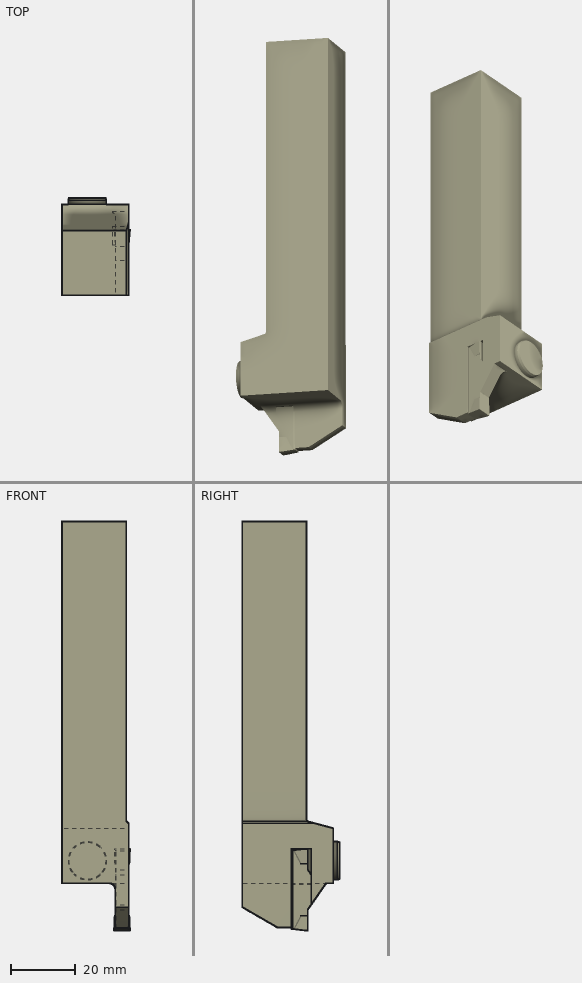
import cadquery as cq
import math


overall_height = 126.35
shank_size = 19.9
head_depth = 28.1
head_width = 20.64
head_bottom = 14.7
head_shoulder = 33.9
shoulder_angle = 15.0
shoulder_fillet = 0.7

blade_thickness = 4.2
blade_inner = head_width - blade_thickness
blade_root_radius = 2.0
relief_step = 0.35
blade_bottom = 1.05
blade_heel_height = 7.3
heel_angle = 30.0
jaw_root_depth = 25.9
jaw_tip_height = 6.55

screw_diameter = 11.86
screw_top = 30.1
screw_x = 7.8
screw_z = 21.7
screw_edge_rise = 0.75
screw_edge_inset = 0.25

insert_length = 25.4
insert_center_x = head_width - blade_thickness / 2
insert_base = 15.2
insert_top = 21.3
insert_edge_height = 20.25
base_chamfer_width = 0.2
base_chamfer_rise = 0.4
front_clearance = 0.6
cutting_width = 5.02
corner_radius = 0.4
cheek_length = 4.75
cheek_root_at_edge = 15.6
cheek_root_inside = 18.05


def prism_along_x(points, x_start, x_end):
    """Extrude a closed (y, z) outline from x_start to x_end."""
    return cq.Workplane("YZ").workplane(offset=x_start).polyline(points).close().extrude(x_end - x_start)


def box_between(low, high):
    """Axis-aligned box between two opposite corners."""
    size = [b - a for a, b in zip(low, high)]
    return cq.Workplane("XY").box(*size, centered=False).translate(low)


def insert_profile():
    """(y, z) outline: raised clamping face in the middle, a cutting edge at each end."""
    jaw_slope = (jaw_root_depth - insert_edge_height) / (head_bottom - jaw_tip_height)
    ramp_end = jaw_tip_height + (insert_top - insert_edge_height) / jaw_slope
    lower_half = [
        (insert_base, front_clearance),
        (insert_edge_height, 0),
        (insert_edge_height, jaw_tip_height),
        (insert_top, ramp_end),
    ]
    upper_half = [(y, insert_length - z) for y, z in reversed(lower_half)]
    return lower_half + upper_half


def make_insert_core():
    half = blade_thickness / 2
    base_half = half - base_chamfer_width
    chamfer_end = insert_base + base_chamfer_rise
    section = [
        (-base_half, insert_base),
        (base_half, insert_base),
        (half, chamfer_end),
        (half, insert_top),
        (-half, insert_top),
        (-half, chamfer_end),
    ]
    bar = cq.Workplane("XY").polyline(section).close().extrude(insert_length)
    return bar.intersect(prism_along_x(insert_profile(), -half, half))


def make_cutting_tip():
    """Wider cutting end whose cheeks taper into the core, away from the cutting edge."""
    core_half = blade_thickness / 2
    edge_half = cutting_width / 2
    reach_ratio = (insert_edge_height - cheek_root_inside) / (insert_edge_height - cheek_root_at_edge)
    inner_half = core_half + (edge_half - core_half) * reach_ratio

    def section(edge, root):
        return [
            (-edge, insert_edge_height),
            (edge, insert_edge_height),
            (core_half, root),
            (-core_half, root),
        ]

    tip = (
        cq.Workplane("XY")
        .polyline(section(edge_half, cheek_root_at_edge)).close()
        .workplane(offset=cheek_length)
        .polyline(section(inner_half, cheek_root_inside)).close()
        .loft(ruled=True)
    )
    return tip.intersect(prism_along_x(insert_profile(), -edge_half, edge_half))


def make_insert():
    lower_tip = make_cutting_tip()
    upper_tip = lower_tip.mirror("XY", (0, 0, insert_length / 2))
    body = make_insert_core().union(lower_tip).union(upper_tip)
    rounded_outline = (
        cq.Workplane("XZ")
        .center(0, insert_length / 2)
        .rect(cutting_width, insert_length)
        .extrude(-insert_top)
        .edges("|Y")
        .fillet(corner_radius)
    )
    body = body.intersect(rounded_outline)
    return body.translate((insert_center_x, 0, 0))


def make_shank_and_head():
    """Square shank widening into the clamp head: sloped shoulder on +Y, 45 degree step on +X."""
    shoulder_drop = (head_depth - shank_size) * math.tan(math.radians(shoulder_angle))
    side_outline = [
        (0, head_bottom),
        (head_depth, head_bottom),
        (head_depth, head_shoulder - shoulder_drop),
        (shank_size, head_shoulder),
        (shank_size, overall_height),
        (0, overall_height),
    ]
    body = prism_along_x(side_outline, 0, head_width)
    inner_corner = cq.selectors.NearestToPointSelector((head_width / 2, shank_size, head_shoulder))
    body = body.edges("|X").edges(inner_corner).fillet(shoulder_fillet)

    step = head_width - shank_size
    front_outline = [
        (0, head_bottom),
        (head_width, head_bottom),
        (head_width, head_shoulder - step),
        (shank_size, head_shoulder),
        (shank_size, overall_height),
        (0, overall_height),
    ]
    front_prism = cq.Workplane("XZ").polyline(front_outline).close().extrude(-head_depth)
    return body.intersect(front_prism)


def make_blade():
    heel_run = (blade_heel_height - blade_bottom) / math.tan(math.radians(heel_angle))
    outline = [
        (0, head_bottom),
        (0, blade_heel_height),
        (heel_run, blade_bottom),
        (insert_base, blade_bottom),
        (insert_edge_height, jaw_tip_height),
        (jaw_root_depth, head_bottom),
    ]
    root_start = blade_inner - blade_root_radius
    root_bottom = head_bottom - blade_root_radius
    section = (
        cq.Workplane("XZ")
        .moveTo(root_start, head_bottom)
        .radiusArc((blade_inner, root_bottom), blade_root_radius)
        .lineTo(blade_inner, 0)
        .lineTo(head_width, 0)
        .lineTo(head_width, head_bottom)
        .close()
        .extrude(-head_depth)
    )
    return section.intersect(prism_along_x(outline, root_start, head_width))


def make_screw_head():
    """Clamping screw head, standing out of the back of the clamp head."""
    radius = screw_diameter / 2
    rim = screw_top - screw_edge_rise
    profile = [
        (0, head_depth),
        (radius, head_depth),
        (radius, rim),
        (radius - screw_edge_inset, screw_top),
        (0, screw_top),
    ]
    head = cq.Workplane("XY").polyline(profile).close().revolve(360, (0, 0, 0), (0, 1, 0))
    return head.translate((screw_x, 0, screw_z))


def make_insert_seat():
    """Slot for the insert, open to +X, and the relief it cuts through the blade's root."""
    slot = box_between((blade_inner, insert_base, 0), (head_width, insert_top, insert_length))
    relief = box_between(
        (blade_inner - blade_root_radius, insert_base + base_chamfer_rise, 0),
        (blade_inner, insert_top, head_bottom - relief_step),
    )
    return slot.union(relief)


def make_holder(insert):
    body = make_shank_and_head().union(make_blade()).union(make_screw_head())
    return body.cut(make_insert_seat()).cut(insert)


insert = make_insert()
holder = make_holder(insert)

result = cq.Compound.makeCompound([holder.val(), insert.val()])